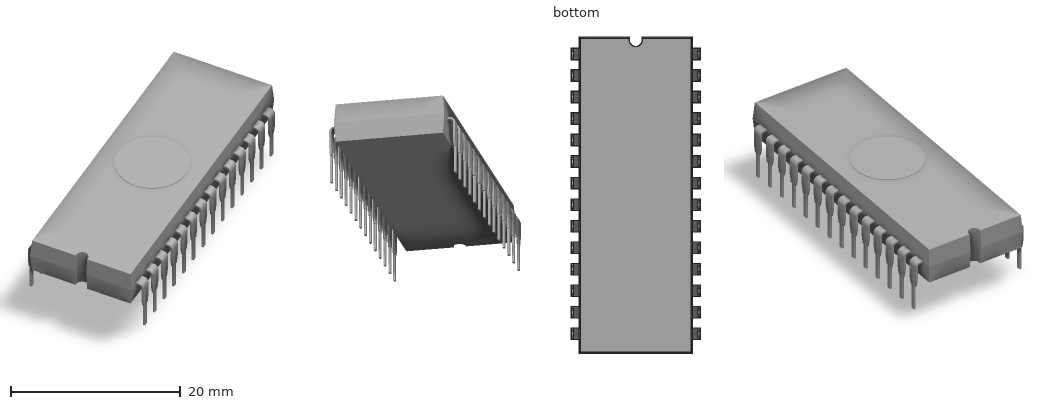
import cadquery as cq


overall_width = 15.25
overall_length = 37.35
overall_height = 9.07

body_width = 13.35
half_height = 2.35
side_taper = 0.2

window_diameter = 8.92
window_height = 0.07

notch_radius = 0.75
notch_depth = 1.12

leads_per_side = 14
lead_pitch = 2.55
lead_row_shift = -0.168
lead_thickness = 0.25
lead_bend_radius = 0.6
lead_embed = 0.37
shoulder_width = 1.4
shoulder_tip_width = 0.95
pin_width = 0.52
shoulder_taper_start = -half_height
shoulder_taper_end = -3.35
lead_tip = half_height + window_height - overall_height


def body_half(height):
    """Half of the body, from the parting plane to a smaller face at the given signed height."""
    return (
        cq.Workplane("XY")
        .rect(body_width, overall_length)
        .workplane(offset=height)
        .rect(body_width - 2 * side_taper, overall_length - 2 * side_taper)
        .loft(ruled=True)
    )


def notch_cutter():
    end_y = -overall_length / 2
    round_center_y = end_y + notch_depth - notch_radius
    return (
        cq.Workplane("XY")
        .workplane(offset=-half_height)
        .moveTo(-notch_radius, end_y)
        .lineTo(-notch_radius, round_center_y)
        .radiusArc((notch_radius, round_center_y), notch_radius)
        .lineTo(notch_radius, end_y)
        .close()
        .extrude(2 * half_height)
    )


def window():
    return (
        cq.Workplane("XY")
        .workplane(offset=half_height)
        .circle(window_diameter / 2)
        .extrude(window_height)
    )


def lead():
    """One lead of the +X row at Y = 0: a bent strip trimmed to its stepped outline in the YZ plane."""
    outer_x = overall_width / 2
    inner_x = outer_x - lead_thickness
    root_x = body_width / 2 - lead_embed
    top_z = lead_thickness / 2

    strip = (
        cq.Workplane("XZ")
        .moveTo(root_x, top_z)
        .lineTo(outer_x - lead_bend_radius, top_z)
        .radiusArc((outer_x, top_z - lead_bend_radius), lead_bend_radius)
        .lineTo(outer_x, lead_tip)
        .lineTo(inner_x, lead_tip)
        .lineTo(inner_x, top_z - lead_bend_radius)
        .radiusArc((outer_x - lead_bend_radius, -top_z), lead_thickness - lead_bend_radius)
        .lineTo(root_x, -top_z)
        .close()
        .extrude(shoulder_width / 2, both=True)
    )
    stepped_outline = (
        cq.Workplane("YZ")
        .moveTo(0, top_z)
        .lineTo(shoulder_width / 2, top_z)
        .lineTo(shoulder_width / 2, shoulder_taper_start)
        .lineTo(shoulder_tip_width / 2, shoulder_taper_end)
        .lineTo(pin_width / 2, shoulder_taper_end)
        .lineTo(pin_width / 2, lead_tip)
        .lineTo(0, lead_tip)
        .mirrorY()
        .extrude(overall_width)
    )
    return strip.intersect(stepped_outline)


result = (
    body_half(half_height)
    .union(body_half(-half_height))
    .cut(notch_cutter())
    .union(window())
)

right_lead = lead()
left_lead = right_lead.mirror("YZ")
first_lead_y = lead_row_shift - lead_pitch * (leads_per_side - 1) / 2
for index in range(leads_per_side):
    lead_y = first_lead_y + index * lead_pitch
    result = result.union(right_lead.translate((0, lead_y, 0)))
    result = result.union(left_lead.translate((0, lead_y, 0)))